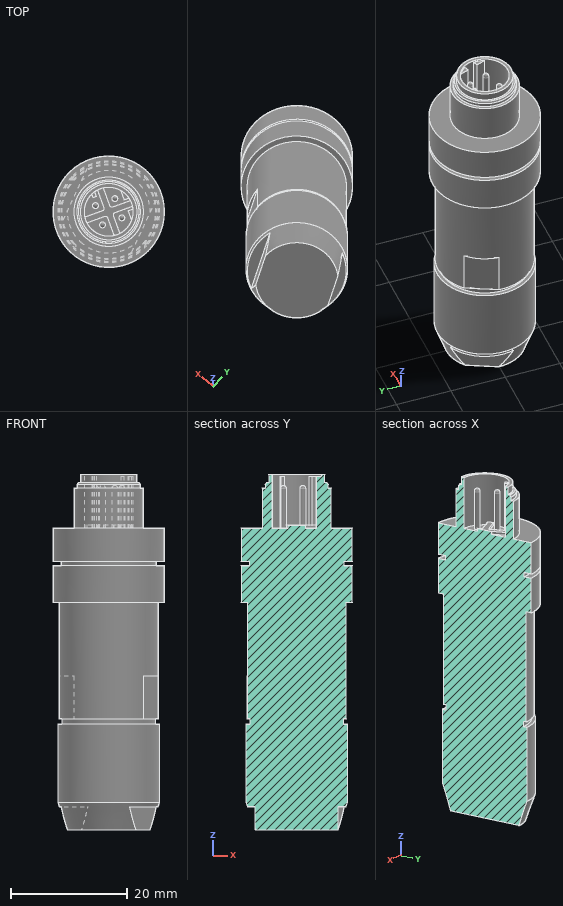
import cadquery as cq

total_height = 61.12
nose_top = 4.75
sleeve_top = 18.2
body_bottom = 19.1
collar_bottom = 39.1
collar_groove_bottom = 45.45
collar_groove_top = 46.15
collar_top = 51.9
thread_top = 58.75
seal_edge = 59.4
seal_top = 59.75

nose_end_radius = 7.1
sleeve_radius = 8.75
body_groove_radius = 8.05
body_radius = 8.55
collar_diameter = 19.18
collar_radius = collar_diameter / 2
collar_groove_radius = 8.2
thread_radius = 5.97
seal_radius = 5.45
seal_top_radius = 5.2
rim_radius = 4.85
socket_radius = 4.2

flat_angle = -25.0
nose_flat_width = 13.0
nose_flat_top = 4.0
body_flat_width = 16.0
body_flat_top = 26.5

insert_angle = 20.0
socket_floor = collar_top
cross_width = 1.05
cross_height = 0.5
cross_corner_radius = 0.4
pin_count = 4
pin_circle_radius = 2.5
pin_radius = 0.5
pin_top = total_height - 1.9

key_top = total_height - 0.35
key_inner_distance = 3.2
split_key_gap = 2.0
small_key_start = -1.7
small_key_end = -1.1


def disc(radius, bottom, top):
    """Solid cylinder on the connector axis between two levels."""
    return cq.Workplane("XY").workplane(offset=bottom).circle(radius).extrude(top - bottom)


def make_turned_body():
    """Revolve the stepped outer profile about the connector axis."""
    profile = [
        (0, 0),
        (nose_end_radius, 0),
        (sleeve_radius, nose_top),
        (sleeve_radius, sleeve_top),
        (body_groove_radius, sleeve_top),
        (body_groove_radius, body_bottom),
        (body_radius, body_bottom),
        (body_radius, collar_bottom),
        (collar_radius, collar_bottom),
        (collar_radius, collar_groove_bottom),
        (collar_groove_radius, collar_groove_bottom),
        (collar_groove_radius, collar_groove_top),
        (collar_radius, collar_groove_top),
        (collar_radius, collar_top),
        (thread_radius, collar_top),
        (thread_radius, thread_top),
        (seal_radius, thread_top),
        (seal_radius, seal_edge),
        (seal_top_radius, seal_top),
        (rim_radius, seal_top),
        (rim_radius, total_height),
        (0, total_height),
    ]
    return cq.Workplane("XZ").polyline(profile).close().revolve(360, (0, 0), (0, 1))


def make_flat_cutter(width_across_flats, bottom, top):
    """Material outside two parallel planes, between two levels."""
    height = top - bottom
    middle = (bottom + top) / 2
    envelope = collar_diameter
    block = cq.Workplane("XY").box(envelope, envelope, height)
    kept = cq.Workplane("XY").box(width_across_flats, envelope, height)
    cutter = block.cut(kept).translate((0, 0, middle))
    return cutter.rotate((0, 0, 0), (0, 0, 1), flat_angle)


def make_cross():
    """Raised cross on the socket floor, with rounded inner corners."""
    arm = cq.Workplane("XY").box(2 * socket_radius, cross_width, cross_height, centered=(True, True, False))
    cross = arm.union(arm.rotate((0, 0, 0), (0, 0, 1), 90))
    inner_corners = cq.selectors.BoxSelector(
        (-cross_width, -cross_width, -cross_height),
        (cross_width, cross_width, 2 * cross_height),
    )
    cross = cross.edges("|Z").edges(inner_corners).fillet(cross_corner_radius)
    return cross.rotate((0, 0, 0), (0, 0, 1), insert_angle).translate((0, 0, socket_floor))


def make_pin():
    """Round pin with a domed tip."""
    shank = disc(pin_radius, socket_floor, pin_top - pin_radius)
    tip = cq.Workplane("XY").sphere(pin_radius).translate((0, 0, pin_top - pin_radius))
    return shank.union(tip)


def make_pins():
    """Pins centred in the sectors between the arms of the cross."""
    pitch = 360 / pin_count
    pin = make_pin().translate((pin_circle_radius, 0, 0))
    pins = cq.Workplane("XY")
    for index in range(pin_count):
        pins = pins.add(pin.rotate((0, 0, 0), (0, 0, 1), insert_angle + pitch * (index + 0.5)))
    return pins.combine()


def make_split_key():
    """Wall segment behind a flat face, split by a central slot."""
    height = key_top - socket_floor
    centering = (False, True, False)
    segment = cq.Workplane("XY").box(rim_radius, 2 * rim_radius, height, centered=centering)
    slot = cq.Workplane("XY").box(rim_radius, split_key_gap, height, centered=centering)
    return segment.cut(slot).translate((key_inner_distance, 0, socket_floor))


def make_small_key():
    """Narrow rib on the wall, a quarter turn from the split key."""
    height = key_top - socket_floor
    width = small_key_end - small_key_start
    rib = cq.Workplane("XY").box(width, rim_radius, height, centered=False)
    return rib.translate((small_key_start, key_inner_distance, socket_floor))


def make_keys():
    """All coding keys, trimmed inside the socket wall and turned with the insert."""
    middle_of_wall = (socket_radius + rim_radius) / 2
    keys = make_split_key().union(make_small_key())
    keys = keys.intersect(disc(middle_of_wall, socket_floor, key_top))
    return keys.rotate((0, 0, 0), (0, 0, 1), insert_angle)


result = make_turned_body()
result = result.cut(make_flat_cutter(nose_flat_width, 0, nose_flat_top))
result = result.cut(make_flat_cutter(body_flat_width, body_bottom, body_flat_top))
result = result.cut(disc(socket_radius, socket_floor, total_height))
result = result.union(make_cross())
result = result.union(make_pins())
result = result.union(make_keys())